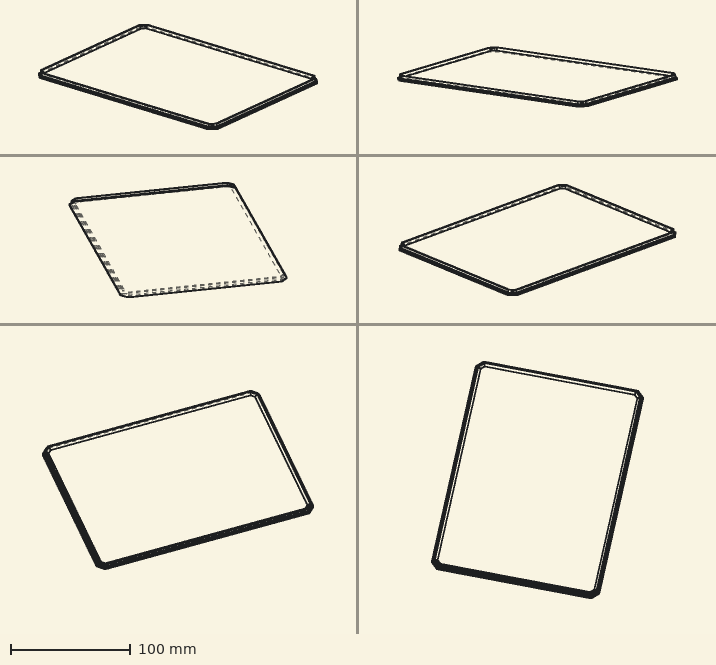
import cadquery as cq
import math

length = 193.0
width = 143.0
height = 4.0
corner_cut = 5.6

flange_thickness = 1.0
shoulder_inset = 0.8
wall_inset = 1.5
shoulder_top = flange_thickness + wall_inset - shoulder_inset

rim_width = 1.0
floor_height = 2.0
rim_inner_inset = wall_inset + rim_width
floor_inset = rim_inner_inset + height - floor_height

hole_diameter = 2.0
hole_height = 2.7
hole_depth = 0.8

corner_shift = 2**0.5 - 1


def outline(plane, inset):
    """Draw the corner-cut rectangle, offset evenly inward by the inset."""
    half_x = length / 2 - inset
    half_y = width / 2 - inset
    cut = corner_cut - inset * (1 - corner_shift)
    points = [
        (half_x, half_y - cut),
        (half_x - cut, half_y),
        (cut - half_x, half_y),
        (-half_x, half_y - cut),
        (-half_x, cut - half_y),
        (cut - half_x, -half_y),
        (half_x - cut, -half_y),
        (half_x, cut - half_y),
    ]
    return plane.polyline(points).close()


def tapered_block(bottom, bottom_inset, top, top_inset):
    """Join two outlines at different heights with flat sloping sides."""
    base = outline(cq.Workplane("XY").workplane(offset=bottom), bottom_inset)
    return outline(base.workplane(offset=top - bottom), top_inset).loft(ruled=True)


def corner_hole(side_x, side_y):
    """Make the cutter that enters the middle of one cut-corner wall at right angles."""
    inset_shift = wall_inset * math.sqrt(2)
    wall_center = (
        side_x * (length - corner_cut - inset_shift) / 2,
        side_y * (width - corner_cut - inset_shift) / 2,
        hole_height,
    )
    inward = cq.Plane(origin=wall_center, xDir=(0, 0, 1), normal=(-side_x, -side_y, 0))
    return cq.Workplane(inward).circle(hole_diameter / 2).extrude(hole_depth)


flange = outline(cq.Workplane("XY"), 0).extrude(flange_thickness)
shoulder = tapered_block(flange_thickness, shoulder_inset, shoulder_top, wall_inset)
wall = outline(cq.Workplane("XY"), wall_inset).extrude(height)
recess = tapered_block(floor_height, floor_inset, height, rim_inner_inset)

result = flange.union(shoulder).union(wall).cut(recess)
for side_x in (-1, 1):
    for side_y in (-1, 1):
        result = result.cut(corner_hole(side_x, side_y))